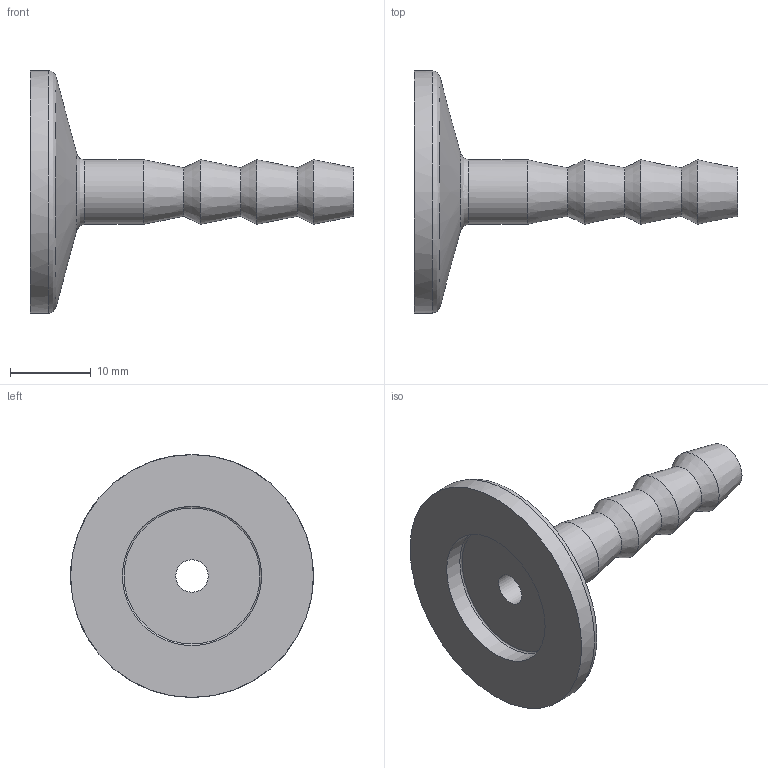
import cadquery as cq
import math

total_length = 40.0
flange_radius = 30.0 / 2
shank_radius = 8.0 / 2
bore_radius = 4.0 / 2

flange_edge_thickness = 3.0
clamp_angle = 15.0
rim_fillet = 1.0
neck_fillet = 1.0

recess_radius = 17.2 / 2
recess_depth = 2.5
recess_floor_fillet = 0.2

barb_count = 4
barb_pitch = 7.0
barb_taper_length = 5.0
valley_radius = 3.0

barbs_length = (barb_count - 1) * barb_pitch + barb_taper_length
barbs_start = total_length - barbs_length
cone_length = (flange_radius - shank_radius) * math.tan(math.radians(clamp_angle))
cone_end = flange_edge_thickness + cone_length


def circle_edge_at(x, radius):
    """Selector for the circular edge about the X axis at position x."""
    tolerance = 0.01
    return cq.selectors.BoxSelector(
        (x - tolerance, -radius - tolerance, -radius - tolerance),
        (x + tolerance, radius + tolerance, radius + tolerance),
        boundingbox=True,
    )


def revolve_about_x(profile):
    return profile.close().revolve(360, (0, 0, 0), (1, 0, 0))


def make_body():
    """Flange, shank and barbs as one solid of revolution."""
    profile = (
        cq.Workplane("XZ")
        .lineTo(0, flange_radius)
        .lineTo(flange_edge_thickness, flange_radius)
        .lineTo(cone_end, shank_radius)
    )
    for index in range(barb_count):
        crest = barbs_start + index * barb_pitch
        profile = profile.lineTo(crest, shank_radius).lineTo(crest + barb_taper_length, valley_radius)
    body = revolve_about_x(profile.lineTo(total_length, 0))
    body = body.edges(circle_edge_at(flange_edge_thickness, flange_radius)).fillet(rim_fillet)
    return body.edges(circle_edge_at(cone_end, shank_radius)).fillet(neck_fillet)


def make_recess():
    """Shallow cylinder with a rounded floor edge, to be cut from the flange face."""
    recess = cq.Workplane("YZ").circle(recess_radius).extrude(recess_depth)
    return recess.faces(">X").edges().fillet(recess_floor_fillet)


def make_bore():
    return cq.Workplane("YZ").circle(bore_radius).extrude(total_length)


result = make_body().cut(make_recess()).cut(make_bore())